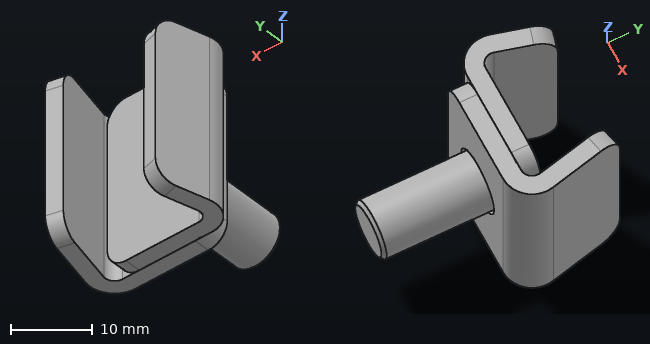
import cadquery as cq
import math


sheet = 2.5
height = 25.4
corner_radius = 3.0
inner_bend_radius = 1.48
outer_bend_radius = inner_bend_radius + sheet

rear_bend_x = -7.65
rear_end_x = 7.03
rear_lean = 15.0
rear_arm_length = 7.97

front_bend_x = 6.75
front_end_x = -7.95
front_lean = 13.0
front_arm_length = 10.67

stud_radius = 4.0
stud_projection = 15.0
stud_chamfer = 0.48
hole_radius = 4.42


def make_clip(bend_x, end_x, outer_y, lean, arm_length):
    """Bent strip: a flat base, one bend and an arm that leans back over the base."""
    side = math.copysign(1, bend_x)
    bend_y = outer_y + outer_bend_radius
    lean_angle = math.radians(lean)

    def bend_point(radius, angle):
        return (bend_x + side * radius * math.cos(angle), bend_y + radius * math.sin(angle))

    def arm_end(radius):
        x, y = bend_point(radius, lean_angle)
        return (x - side * arm_length * math.sin(lean_angle), y + arm_length * math.cos(lean_angle))

    mid_bend = (lean_angle - math.pi / 2) / 2
    clip = (
        cq.Workplane("XY")
        .workplane(offset=-height / 2)
        .moveTo(end_x, outer_y)
        .lineTo(bend_x, outer_y)
        .threePointArc(bend_point(outer_bend_radius, mid_bend), bend_point(outer_bend_radius, lean_angle))
        .lineTo(*arm_end(outer_bend_radius))
        .lineTo(*arm_end(inner_bend_radius))
        .lineTo(*bend_point(inner_bend_radius, lean_angle))
        .threePointArc(bend_point(inner_bend_radius, mid_bend), (bend_x, outer_y + sheet))
        .lineTo(end_x, outer_y + sheet)
        .close()
        .extrude(height)
    )

    end_middles = [
        (end_x, outer_y + sheet / 2),
        arm_end(inner_bend_radius + sheet / 2),
    ]
    for x, y in end_middles:
        for z in (-height / 2, height / 2):
            corner = cq.selectors.NearestToPointSelector((x, y, z))
            clip = clip.edges(corner).fillet(corner_radius)
    return clip


def make_stud():
    """Plain stud standing on the rear clip, chamfered at its free end."""
    return (
        cq.Workplane("XZ")
        .circle(stud_radius)
        .extrude(sheet + stud_projection)
        .faces("<Y")
        .chamfer(stud_chamfer)
    )


rear_clip = make_clip(rear_bend_x, rear_end_x, 0, rear_lean, rear_arm_length)

clearance_hole = cq.Workplane("XZ").circle(hole_radius).extrude(sheet)
front_clip = make_clip(front_bend_x, front_end_x, -sheet, front_lean, front_arm_length).cut(clearance_hole)

stud = make_stud()

result = cq.Compound.makeCompound([rear_clip.val(), front_clip.val(), stud.val()])